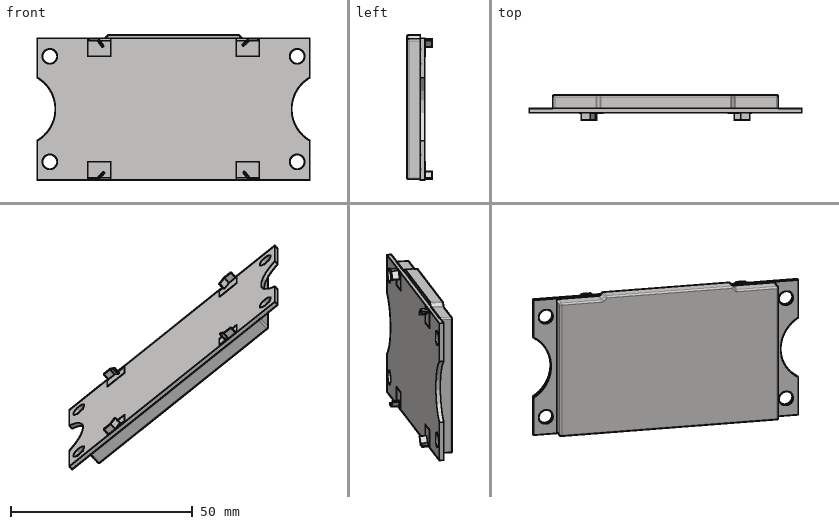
import cadquery as cq
import math

BOARD_WIDTH = 75.0
BOARD_HEIGHT = 39.0
BOARD_THICKNESS = 1.25
BOARD_MID_Z = BOARD_HEIGHT / 2
MOUNT_HOLE_DIAMETER = 4.0
MOUNT_HOLE_SIDE_MARGIN = 3.5
MOUNT_HOLE_EDGE_MARGIN = 5.0
SIDE_NOTCH_RADIUS = 10.0
SIDE_NOTCH_DEPTH = 5.0

COVER_WIDTH = 62.0
COVER_DEPTH = 3.7
COVER_EDGE_INSET = 0.2
COVER_ROUNDING = 0.5
BUMP_BASE_ROUNDING = 0.3
CORNER_SEARCH = 0.05
COVER_BOTTOM_Z = COVER_EDGE_INSET
COVER_TOP_Z = BOARD_HEIGHT - COVER_EDGE_INSET
BUMP_OVERHANG = 0.9
BUMP_TOP_Z = BOARD_HEIGHT + BUMP_OVERHANG
BUMP_TOP_WIDTH = 35.9
BUMP_BASE_WIDTH = BUMP_TOP_WIDTH + 2 * (BUMP_TOP_Z - COVER_TOP_Z)

FOOT_WIDTH = 6.3
FOOT_HEIGHT = 5.0
FOOT_THICKNESS = 0.05
FOOT_OUTER_X = 23.6
LIP_HEIGHT = 0.7
LIP_THICKNESS = 0.03
TAB_REACH = 2.0
TAB_THICKNESS = 0.5
TAB_EDGE_INSET = COVER_EDGE_INSET
TAB_OUTER_X = 23.2
TAB_FOLD_X = 20.65
TAB_TWISTED_LENGTH = 2.45
CLIPS = [(-1, 1, 53.0), (1, 1, 42.0), (-1, -1, 45.0), (1, -1, 51.0)]


def front_block(x0, x1, z0, z1, depth):
    """A box standing on the board's front face and reaching towards -Y."""
    return cq.Workplane("XY").box(x1 - x0, depth, z1 - z0, centered=False).translate((x0, -depth, z0))


def make_board():
    plate = (
        cq.Workplane("XZ", origin=(0, 0, BOARD_MID_Z))
        .rect(BOARD_WIDTH, BOARD_HEIGHT)
        .extrude(-BOARD_THICKNESS)
    )
    notch_x = BOARD_WIDTH / 2 + SIDE_NOTCH_RADIUS - SIDE_NOTCH_DEPTH
    notches = (
        cq.Workplane("XZ", origin=(0, 0, BOARD_MID_Z))
        .pushPoints([(-notch_x, 0), (notch_x, 0)])
        .circle(SIDE_NOTCH_RADIUS)
        .extrude(-BOARD_THICKNESS)
    )
    mount_holes = (
        cq.Workplane("XZ", origin=(0, 0, BOARD_MID_Z))
        .rect(
            BOARD_WIDTH - 2 * MOUNT_HOLE_SIDE_MARGIN,
            BOARD_HEIGHT - 2 * MOUNT_HOLE_EDGE_MARGIN,
            forConstruction=True,
        )
        .vertices()
        .circle(MOUNT_HOLE_DIAMETER / 2)
        .extrude(-BOARD_THICKNESS)
    )
    return plate.cut(notches).cut(mount_holes)


def make_cover():
    outline = [
        (-COVER_WIDTH / 2, COVER_BOTTOM_Z),
        (COVER_WIDTH / 2, COVER_BOTTOM_Z),
        (COVER_WIDTH / 2, COVER_TOP_Z),
        (BUMP_BASE_WIDTH / 2, COVER_TOP_Z),
        (BUMP_TOP_WIDTH / 2, BUMP_TOP_Z),
        (-BUMP_TOP_WIDTH / 2, BUMP_TOP_Z),
        (-BUMP_BASE_WIDTH / 2, COVER_TOP_Z),
        (-COVER_WIDTH / 2, COVER_TOP_Z),
    ]
    block = (
        cq.Workplane("XZ", origin=(0, BOARD_THICKNESS, 0))
        .polyline(outline)
        .close()
        .extrude(-COVER_DEPTH)
    )
    half_base = BUMP_BASE_WIDTH / 2
    base_corners = cq.selectors.BoxSelector(
        (-half_base - CORNER_SEARCH, 0, COVER_TOP_Z - CORNER_SEARCH),
        (half_base + CORNER_SEARCH, BOARD_THICKNESS + COVER_DEPTH, COVER_TOP_Z + CORNER_SEARCH),
    )
    depth_edges = cq.selectors.ParallelDirSelector(cq.Vector(0, 1, 0))
    block = block.edges(depth_edges - base_corners).fillet(COVER_ROUNDING)
    block = block.edges(depth_edges).edges(base_corners).fillet(BUMP_BASE_ROUNDING)
    return block.faces(">Y").edges().fillet(COVER_ROUNDING)


def make_clip(side_x, side_z, twist):
    """A clip modelled at the +X, +Z corner, then mirrored to its own corner."""
    foot_inner_x = FOOT_OUTER_X - FOOT_WIDTH
    lip_bottom_z = BOARD_HEIGHT - LIP_HEIGHT
    foot = front_block(
        foot_inner_x, FOOT_OUTER_X, BOARD_HEIGHT - FOOT_HEIGHT, lip_bottom_z, FOOT_THICKNESS
    )
    lip = front_block(foot_inner_x, FOOT_OUTER_X, lip_bottom_z, BOARD_HEIGHT, LIP_THICKNESS)

    outer_z = BOARD_HEIGHT - TAB_EDGE_INSET
    inner_z = outer_z - TAB_THICKNESS
    angle = math.radians(twist)
    along_x = -math.cos(angle)
    along_z = -math.sin(angle)
    tip_x = TAB_FOLD_X + TAB_TWISTED_LENGTH * along_x
    tip_z = outer_z + TAB_TWISTED_LENGTH * along_z
    inner_fold_x = TAB_FOLD_X + TAB_THICKNESS * math.tan(angle / 2)
    tab = (
        cq.Workplane("XZ")
        .polyline(
            [
                (TAB_OUTER_X, outer_z),
                (TAB_FOLD_X, outer_z),
                (tip_x, tip_z),
                (tip_x - TAB_THICKNESS * along_z, tip_z + TAB_THICKNESS * along_x),
                (inner_fold_x, inner_z),
                (TAB_OUTER_X, inner_z),
            ]
        )
        .close()
        .extrude(TAB_REACH)
    )
    clip = foot.union(lip).union(tab)
    if side_x < 0:
        clip = clip.mirror("YZ")
    if side_z < 0:
        clip = clip.mirror("XY", (0, 0, BOARD_MID_Z))
    return clip


board = make_board()
cover = make_cover()
clips = [make_clip(*placement) for placement in CLIPS]

result = cq.Compound.makeCompound([board.val(), cover.val(), *[clip.val() for clip in clips]])